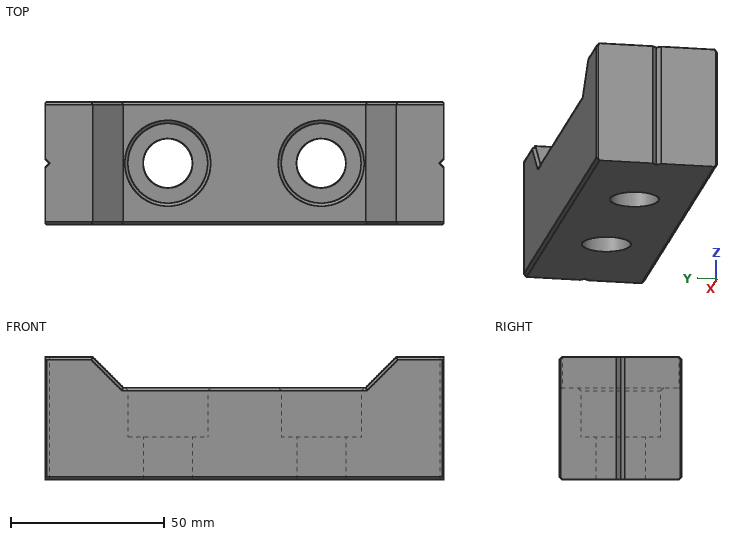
import cadquery as cq

length = 130.0
width = 40.0
height = 40.0
half_length = length / 2
half_height = height / 2

saddle_depth = 10.0
saddle_floor_length = 79.0
saddle_floor_z = half_height - saddle_depth
saddle_floor_half = saddle_floor_length / 2
saddle_mouth_half = saddle_floor_half + saddle_depth

long_edge_chamfer = 1.0
corner_chamfer = 0.5

hole_spacing = 50.0
through_diameter = 16.0
bore_diameter = 26.0
bore_depth = 16.0
bore_chamfer = 1.0

groove_depth = 1.4


def chamfered_prism(profile, chamfer):
    """Extrude an XZ profile over the width and chamfer its front and back outlines."""
    prism = profile.extrude(width / 2, both=True)
    return prism.faces("<Y or >Y").edges().chamfer(chamfer)


def saddle_block():
    """Block with the saddle recess; the end edges reach past the ends and are trimmed off."""
    overhang = 2 * long_edge_chamfer
    outer_half = half_length + overhang
    profile = (
        cq.Workplane("XZ")
        .moveTo(-outer_half, -half_height)
        .lineTo(outer_half, -half_height)
        .lineTo(outer_half, half_height)
        .lineTo(saddle_mouth_half, half_height)
        .lineTo(saddle_floor_half, saddle_floor_z)
        .lineTo(-saddle_floor_half, saddle_floor_z)
        .lineTo(-saddle_mouth_half, half_height)
        .lineTo(-outer_half, half_height)
        .close()
    )
    trim = cq.Workplane("XY").box(length, width, height).edges("|Z").chamfer(corner_chamfer)
    return chamfered_prism(profile, long_edge_chamfer).intersect(trim)


def bolt_hole(x):
    """Cutter for one bolt hole: through hole, counterbore and chamfered rim."""
    bore_radius = bore_diameter / 2
    through_radius = through_diameter / 2
    rim_radius = bore_radius + bore_chamfer
    bore_floor_z = saddle_floor_z - bore_depth
    section = (
        cq.Workplane("XZ")
        .moveTo(0, -half_height)
        .lineTo(through_radius, -half_height)
        .lineTo(through_radius, bore_floor_z)
        .lineTo(bore_radius, bore_floor_z)
        .lineTo(bore_radius, saddle_floor_z - bore_chamfer)
        .lineTo(rim_radius, saddle_floor_z)
        .lineTo(0, saddle_floor_z)
        .close()
    )
    return section.revolve(360, (0, 0, 0), (0, 1, 0)).translate((x, 0, 0))


def end_groove(side):
    """Cutter for the V groove on the end face at the given side, -1 or +1 along X."""
    end_x = side * half_length
    triangle = [
        (end_x, -groove_depth),
        (end_x - side * groove_depth, 0),
        (end_x, groove_depth),
    ]
    return cq.Workplane("XY").polyline(triangle).close().extrude(half_height, both=True)


result = saddle_block()
for side in (-1, 1):
    result = result.cut(bolt_hole(side * hole_spacing / 2))
    result = result.cut(end_groove(side))